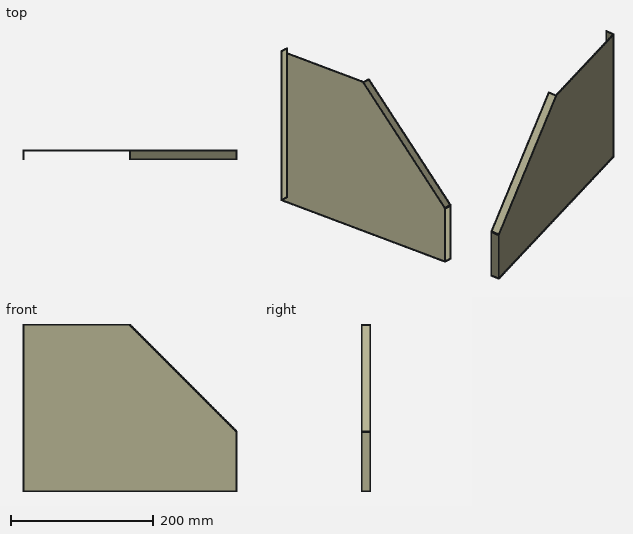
import cadquery as cq
import math

width = 300.0
height = 234.39
depth = 12.5
sheet = 0.5
slope_angle = 45.0
slope_flange_run = 150.0
corner_relief = 0.61

slope_cosine = math.cos(math.radians(slope_angle))
slope_run = slope_flange_run + corner_relief * slope_cosine
slope_drop = slope_run * math.tan(math.radians(slope_angle))
slope_length = slope_run / slope_cosine
top_edge = width - slope_run
right_edge = height - slope_drop


def back_plate():
    """Flat five-sided sheet at the back of the part."""
    outline = [
        (0, 0),
        (width, 0),
        (width, right_edge),
        (top_edge, height),
        (0, height),
    ]
    return cq.Workplane("XZ", origin=(0, depth, 0)).polyline(outline).close().extrude(sheet)


def upright_flange(left, length):
    """Flange standing on a vertical edge, starting at the bottom of the plate."""
    return cq.Workplane("XY").box(sheet, depth, length, centered=False).translate((left, 0, 0))


def slope_flange():
    """Square-ended flange along the sloping edge, set back from both corners."""
    length = slope_length - 2 * corner_relief
    flange = cq.Workplane("XY").box(length, depth, sheet, centered=False)
    flange = flange.translate((corner_relief, 0, -sheet))
    flange = flange.rotate((0, 0, 0), (0, 1, 0), slope_angle)
    return flange.translate((top_edge, 0, height))


left_flange = upright_flange(0, height)
right_flange = upright_flange(width - sheet, right_edge - corner_relief)

result = back_plate().union(left_flange).union(right_flange).union(slope_flange())